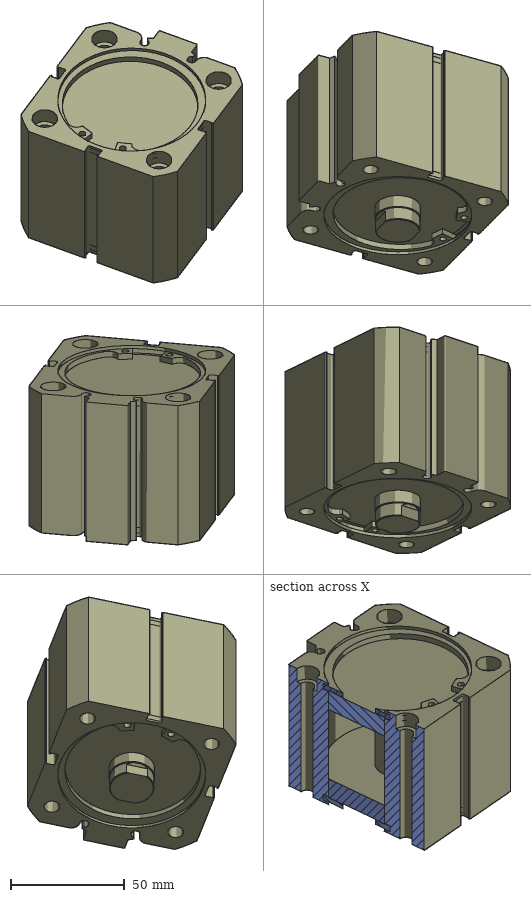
import cadquery as cq
import math


OVERALL_DEPTH = 83
OVERALL_HEIGHT = 73

BODY_WIDTH = 77.5
BODY_HEIGHT = 65.1
CORNER_RADIUS = 49.55
BORE_RADIUS = 32.45

PORT_HALF_WIDTH = 9.5
PORT_FACE_Y = OVERALL_DEPTH - BODY_WIDTH / 2
PORT_EDGE_FILLET = 0.4

NOTCH_OFFSET = 11.7
NOTCH_RADIUS = 2.0
NOTCH_CENTER_Y = 34.5
NOTCH_FILLET = 4.0
HOOK_TIP_X = 11.8
HOOK_TIP_Y = 37.6
HOOK_ROOT_X = 11.2
HOOK_ROOT_Y = 36.4
HOOK_END_ANGLE = 125

SLOT_WIDTH = 6.6
SLOT_MOUTH = 5.4
SLOT_DEPTH = 4.4
SLOT_LIP = 0.7
SLOT_MOUTH_CHAMFER = 0.4
SLOT_FLOOR_FILLET = 0.6

HOLE_OFFSET = 28.3
HOLE_DIAMETER = 6.8
COUNTERBORE_DIAMETER = 11.0
COUNTERBORE_DEPTH = 7.1

RING_SETBACK = 1.5
RING_THICKNESS = 2.65
RING_BOTTOMS = (RING_SETBACK, BODY_HEIGHT - RING_SETBACK - RING_THICKNESS)
GROOVE_WALL = 0.23
RING_RADIUS = BODY_WIDTH / 2 - SLOT_DEPTH - GROOVE_WALL
RING_INNER_RADIUS = 29.8
RING_INNER_SHIFT = 1.6
GAP_HALF_ANGLE = 13.8
LUG_ANGLE = 19.8
LUG_INNER_RADIUS = 26.15
LUG_OUTER_REACH = 3.6
LUG_FILLET = 4.15
LUG_HOLE_RADIUS = 29.55
LUG_HOLE_DIAMETER = 3.0

COVER_INSET = RING_SETBACK + RING_THICKNESS
COVER_THICKNESS = 10.0

ROD_RADIUS = 10.05
ROD_TIP_RADIUS = 9.8
ROD_CHAMFER = 0.3
ROD_LENGTH_OUT = OVERALL_HEIGHT - BODY_HEIGHT
ROD_SHOULDER = 1.8
FLAT_HALF_WIDTH = 8.55
FLAT_TOP = 2.9


def polar(radius, angle):
    """Point at a given angle from -Y, positive toward +X."""
    a = math.radians(angle)
    return radius * math.sin(a), -radius * math.cos(a)


def left(point):
    """Mirror image of a point on the -X side."""
    return -point[0], point[1]


def from_opening(radius, angle):
    """Point measured from the centre of the eccentric ring opening."""
    x, y = polar(radius, angle)
    return x, y - RING_INNER_SHIFT


def cylinder(radius, bottom, top):
    return cq.Workplane("XY").workplane(offset=bottom).circle(radius).extrude(top - bottom)


def notch_cutter(side):
    """Notch beside the port block; side is +1 for +X and -1 for -X."""
    face = BODY_WIDTH / 2
    inner_x = NOTCH_OFFSET - NOTCH_RADIUS
    outer_x = NOTCH_OFFSET + NOTCH_RADIUS
    end_angle = math.radians(HOOK_END_ANGLE)
    end_x = NOTCH_OFFSET + NOTCH_RADIUS * math.cos(end_angle)
    end_y = NOTCH_CENTER_Y + NOTCH_RADIUS * math.sin(end_angle)
    fillet_x = outer_x + NOTCH_FILLET
    fillet_y = face - NOTCH_FILLET
    fillet_diagonal = NOTCH_FILLET * math.sqrt(0.5)
    round_diagonal = NOTCH_RADIUS * math.sqrt(0.5)
    return (
        cq.Workplane("XY")
        .moveTo(side * PORT_HALF_WIDTH, face)
        .lineTo(side * HOOK_TIP_X, HOOK_TIP_Y)
        .lineTo(side * HOOK_ROOT_X, HOOK_ROOT_Y)
        .lineTo(side * end_x, end_y)
        .threePointArc((side * inner_x, NOTCH_CENTER_Y), (side * NOTCH_OFFSET, NOTCH_CENTER_Y - NOTCH_RADIUS))
        .threePointArc(
            (side * (NOTCH_OFFSET + round_diagonal), NOTCH_CENTER_Y - round_diagonal),
            (side * outer_x, NOTCH_CENTER_Y),
        )
        .lineTo(side * outer_x, fillet_y)
        .threePointArc((side * (fillet_x - fillet_diagonal), fillet_y + fillet_diagonal), (side * fillet_x, face))
        .close()
        .extrude(BODY_HEIGHT)
    )


def slot_cutter(angle):
    """Undercut slot in the +X side, turned about the axis by the given angle."""
    face = BODY_WIDTH / 2
    channel_length = SLOT_DEPTH - SLOT_LIP
    channel = (
        cq.Workplane("XY").center(face - SLOT_LIP - channel_length / 2, 0)
        .rect(channel_length, SLOT_WIDTH)
        .extrude(BODY_HEIGHT)
        .edges("|Z and <X").fillet(SLOT_FLOOR_FILLET)
    )
    half_mouth = SLOT_MOUTH / 2
    flared = half_mouth + SLOT_MOUTH_CHAMFER
    mouth = (
        cq.Workplane("XY")
        .polyline([
            (face - SLOT_LIP, -half_mouth),
            (face - SLOT_MOUTH_CHAMFER, -half_mouth),
            (face, -flared),
            (face, flared),
            (face - SLOT_MOUTH_CHAMFER, half_mouth),
            (face - SLOT_LIP, half_mouth),
        ])
        .close()
        .extrude(BODY_HEIGHT)
    )
    return channel.union(mouth).rotate((0, 0, 0), (0, 0, 1), angle)


def make_housing():
    body = cq.Workplane("XY").rect(BODY_WIDTH, BODY_WIDTH).extrude(BODY_HEIGHT)
    body = body.intersect(cylinder(CORNER_RADIUS, 0, BODY_HEIGHT))
    port = (
        cq.Workplane("XY").center(0, (BORE_RADIUS + PORT_FACE_Y) / 2)
        .rect(2 * PORT_HALF_WIDTH, PORT_FACE_Y - BORE_RADIUS)
        .extrude(BODY_HEIGHT)
        .edges("|Z and >Y").fillet(PORT_EDGE_FILLET)
    )
    body = body.union(port)
    for side in (1, -1):
        body = body.cut(notch_cutter(side))
    for angle in (0, 180, 270):
        body = body.cut(slot_cutter(angle))
    body = (
        body.faces(">Z").workplane(origin=(0, 0, 0))
        .rect(2 * HOLE_OFFSET, 2 * HOLE_OFFSET, forConstruction=True).vertices()
        .cboreHole(HOLE_DIAMETER, COUNTERBORE_DIAMETER, COUNTERBORE_DEPTH)
    )
    body = body.cut(cylinder(BORE_RADIUS, 0, BODY_HEIGHT))
    for bottom in RING_BOTTOMS:
        body = body.cut(cylinder(RING_RADIUS, bottom, bottom + RING_THICKNESS))
    return body


def make_ring(bottom):
    """Eccentric internal retaining ring with a lug and a plier hole on each side of its gap."""
    gap_outer = polar(RING_RADIUS, GAP_HALF_ANGLE)
    gap_turn = math.radians(LUG_ANGLE - GAP_HALF_ANGLE)
    gap_inner = polar(LUG_INNER_RADIUS / math.cos(gap_turn), GAP_HALF_ANGLE)
    corner_turn = math.degrees(math.atan(LUG_OUTER_REACH / LUG_INNER_RADIUS))
    corner = polar(math.hypot(LUG_INNER_RADIUS, LUG_OUTER_REACH), LUG_ANGLE + corner_turn)

    corner_rise = corner[1] + RING_INNER_SHIFT
    corner_distance = math.hypot(corner[0], corner_rise)
    corner_angle = math.degrees(math.atan2(corner[0], -corner_rise))
    center_distance = RING_INNER_RADIUS - LUG_FILLET
    side_squares = center_distance**2 + corner_distance**2 - LUG_FILLET**2
    cosine = side_squares / (2 * center_distance * corner_distance)
    tangent_angle = corner_angle + math.degrees(math.acos(cosine))

    tangent = from_opening(RING_INNER_RADIUS, tangent_angle)
    fillet_x, fillet_y = from_opening(center_distance, tangent_angle)
    start = math.degrees(math.atan2(corner[0] - fillet_x, fillet_y - corner[1]))
    mid_x, mid_y = polar(LUG_FILLET, (start + tangent_angle) / 2)
    fillet_middle = (fillet_x + mid_x, fillet_y + mid_y)

    ring = (
        cq.Workplane("XY").workplane(offset=bottom)
        .moveTo(*gap_outer)
        .lineTo(*gap_inner)
        .lineTo(*corner)
        .threePointArc(fillet_middle, tangent)
        .threePointArc((0, RING_INNER_RADIUS - RING_INNER_SHIFT), left(tangent))
        .threePointArc(left(fillet_middle), left(corner))
        .lineTo(*left(gap_inner))
        .lineTo(*left(gap_outer))
        .threePointArc((0, RING_RADIUS), gap_outer)
        .close()
        .extrude(RING_THICKNESS)
    )
    holes = (
        cq.Workplane("XY").workplane(offset=bottom)
        .pushPoints([polar(LUG_HOLE_RADIUS, a) for a in (LUG_ANGLE, -LUG_ANGLE)])
        .circle(LUG_HOLE_DIAMETER / 2)
        .extrude(RING_THICKNESS)
    )
    return ring.cut(holes)


def make_head_cover():
    top = BODY_HEIGHT - COVER_INSET
    return cylinder(BORE_RADIUS, top - COVER_THICKNESS, top)


def make_rod_cover():
    top = COVER_INSET + COVER_THICKNESS
    return cylinder(BORE_RADIUS, COVER_INSET, top).cut(cylinder(ROD_RADIUS, COVER_INSET, top))


def make_rod():
    """Stepped rod that reaches up to the head cover, with two wrench flats on its tip."""
    top = BODY_HEIGHT - COVER_INSET - COVER_THICKNESS
    rod = cylinder(ROD_RADIUS, -ROD_SHOULDER, top).faces("<Z").chamfer(ROD_CHAMFER)
    tip = cylinder(ROD_TIP_RADIUS, -ROD_LENGTH_OUT, -ROD_SHOULDER).faces("<Z").chamfer(ROD_CHAMFER)
    slope = FLAT_TOP - ROD_SHOULDER
    for side in (1, -1):
        flat = (
            cq.Workplane("YZ").workplane(offset=-ROD_RADIUS)
            .moveTo(side * FLAT_HALF_WIDTH, -ROD_LENGTH_OUT)
            .lineTo(side * FLAT_HALF_WIDTH, -FLAT_TOP)
            .lineTo(side * (FLAT_HALF_WIDTH + slope), -ROD_SHOULDER)
            .lineTo(side * 2 * ROD_RADIUS, -ROD_SHOULDER)
            .lineTo(side * 2 * ROD_RADIUS, -ROD_LENGTH_OUT)
            .close()
            .extrude(2 * ROD_RADIUS)
        )
        tip = tip.cut(flat)
    return rod.union(tip)


housing = make_housing()
rings = [make_ring(bottom) for bottom in RING_BOTTOMS]
head_cover = make_head_cover()
rod_cover = make_rod_cover()
rod = make_rod()

result = cq.Compound.makeCompound([
    housing.val(),
    *[ring.val() for ring in rings],
    head_cover.val(),
    rod_cover.val(),
    rod.val(),
])